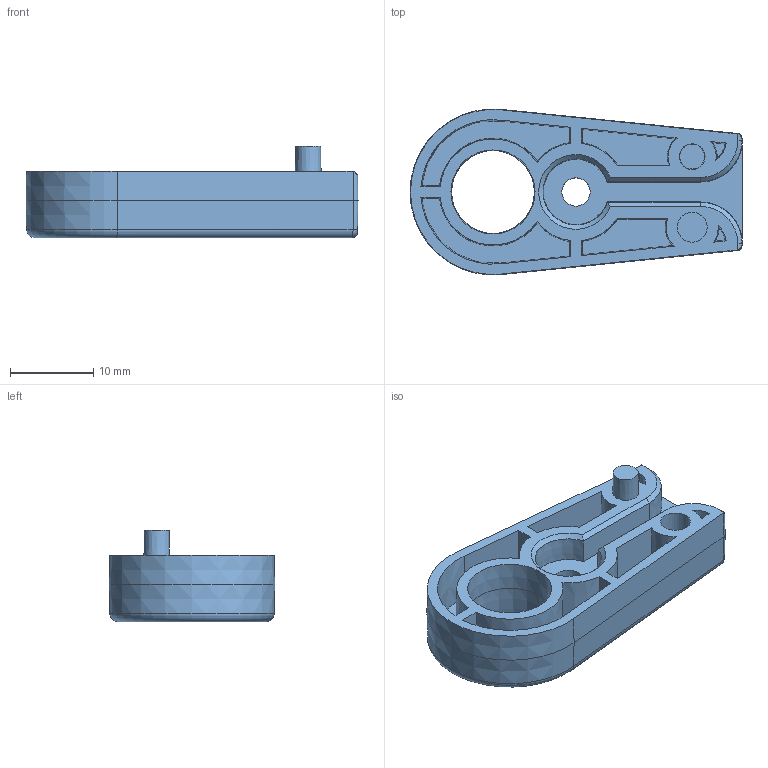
import cadquery as cq
import math

BODY_HEIGHT = 8.0
PARTING_HEIGHT = 4.5
DRAFT = 1.0
HEAD_RADIUS = 10.0
END_X = 30.0
END_HALF_WIDTH = 7.0
BOTTOM_FILLET = 1.0
END_FILLET = 0.6

RING_BORE_RADIUS = 5.0
PIVOT_X = 10.0
PIVOT_BORE_RADIUS = 1.7

KEYHOLE_FLOOR = PARTING_HEIGHT
COUNTERBORE_RADIUS = 4.0
SLOT_HALF_WIDTH = 1.25
FLARE_RADIUS = 5.0
KEYHOLE_CHAMFER = 0.5
CHAMFER_ANGLE = 45.0

PIN_X = 24.0
PIN_Y = 4.25
PIN_RADIUS = 1.55
PIN_LENGTH = 3.0
SOCKET_RADIUS = 1.8
SOCKET_DEPTH = BODY_HEIGHT - PARTING_HEIGHT

POCKET_FLOOR = 2.0
OUTER_WALL = 1.4
RING_WALL = 1.5
KEYHOLE_WALL = 2.0
PIN_BOSS_RADIUS = 3.0
SOCKET_BOSS_RADIUS = 3.25
RIB_WIDTH = 1.5

POCKET_DEPTH = BODY_HEIGHT - POCKET_FLOOR
CHAMFER_BASE = BODY_HEIGHT - KEYHOLE_CHAMFER
FLARE_X = END_X - FLARE_RADIUS
FLARE_Y = SLOT_HALF_WIDTH + FLARE_RADIUS
CORNER_ANGLE = math.atan2(END_HALF_WIDTH, END_X)
SIDE_ANGLE = math.asin(HEAD_RADIUS / math.hypot(END_X, END_HALF_WIDTH)) - CORNER_ANGLE
MARGIN = 5.0


def level(z):
    return cq.Workplane("XY").workplane(offset=z)


def drafted_cylinder(x, y, radius, z, height, taper):
    return level(z).center(x, y).circle(radius).extrude(height, taper=taper)


def body_outline(z, inset):
    """Head arc and its two tangent side lines moved inward by the inset; the flat end stays."""
    radius = HEAD_RADIUS - inset
    tangent_x = radius * math.sin(SIDE_ANGLE)
    tangent_y = radius * math.cos(SIDE_ANGLE)
    end_y = (radius - END_X * math.sin(SIDE_ANGLE)) / math.cos(SIDE_ANGLE)
    return (
        level(z)
        .moveTo(END_X, -end_y)
        .lineTo(END_X, end_y)
        .lineTo(tangent_x, tangent_y)
        .threePointArc((-radius, 0), (tangent_x, -tangent_y))
        .close()
    )


def flared_outline(z, widening):
    """Slot outline from the pivot to beyond the flat end, widened on each side."""
    half_width = SLOT_HALF_WIDTH + widening
    radius = FLARE_RADIUS - widening
    diagonal = radius * math.sqrt(0.5)
    mouth_x = FLARE_X + radius
    far_x = END_X + MARGIN
    far_y = HEAD_RADIUS + MARGIN
    return (
        level(z)
        .moveTo(PIVOT_X, -half_width)
        .lineTo(FLARE_X, -half_width)
        .threePointArc((FLARE_X + diagonal, -FLARE_Y + diagonal), (mouth_x, -FLARE_Y))
        .lineTo(mouth_x, -far_y)
        .lineTo(far_x, -far_y)
        .lineTo(far_x, far_y)
        .lineTo(mouth_x, far_y)
        .lineTo(mouth_x, FLARE_Y)
        .threePointArc((FLARE_X + diagonal, FLARE_Y - diagonal), (FLARE_X, half_width))
        .lineTo(PIVOT_X, half_width)
        .close()
    )


def make_body():
    """Two halves that taper away from the parting level, rounded below and at the flat end."""
    upper = body_outline(PARTING_HEIGHT, 0).extrude(BODY_HEIGHT - PARTING_HEIGHT, taper=DRAFT)
    upper = upper.faces(">X").edges("not |Y").fillet(END_FILLET)
    lower = body_outline(PARTING_HEIGHT, 0).extrude(-PARTING_HEIGHT, taper=DRAFT)
    lower = lower.faces("<Z").edges("not |Y").fillet(BOTTOM_FILLET)
    lower = lower.faces(">X").edges("not >Z").fillet(END_FILLET)
    return upper.union(lower)


def make_pockets():
    """Hollow between the outer wall, the bosses, the keyhole wall and the ribs."""
    opening_inset = OUTER_WALL - POCKET_DEPTH * math.tan(math.radians(DRAFT))
    hollow = body_outline(BODY_HEIGHT, opening_inset).extrude(-POCKET_DEPTH, taper=DRAFT)
    bosses = [
        (0, 0, RING_BORE_RADIUS + RING_WALL),
        (PIVOT_X, 0, COUNTERBORE_RADIUS + KEYHOLE_WALL),
        (PIN_X, PIN_Y, PIN_BOSS_RADIUS),
        (PIN_X, -PIN_Y, SOCKET_BOSS_RADIUS),
    ]
    for x, y, radius in bosses:
        hollow = hollow.cut(drafted_cylinder(x, y, radius, POCKET_FLOOR, POCKET_DEPTH, DRAFT))
    hollow = hollow.cut(flared_outline(POCKET_FLOOR, KEYHOLE_WALL).extrude(POCKET_DEPTH, taper=DRAFT))
    cross_rib = level(POCKET_FLOOR).center(PIVOT_X, 0).rect(RIB_WIDTH, 2 * HEAD_RADIUS)
    head_rib = level(POCKET_FLOOR).center(-HEAD_RADIUS / 2, 0).rect(HEAD_RADIUS, RIB_WIDTH)
    for rib in (cross_rib, head_rib):
        hollow = hollow.cut(rib.extrude(POCKET_DEPTH, taper=DRAFT))
    return hollow


def make_keyhole():
    """Counterbore and flared slot, chamfered along the top rim."""
    depth = CHAMFER_BASE - KEYHOLE_FLOOR
    bore = drafted_cylinder(PIVOT_X, 0, COUNTERBORE_RADIUS, CHAMFER_BASE, -depth, DRAFT)
    bore_rim = drafted_cylinder(PIVOT_X, 0, COUNTERBORE_RADIUS, CHAMFER_BASE, KEYHOLE_CHAMFER, -CHAMFER_ANGLE)
    slot = flared_outline(CHAMFER_BASE, 0).extrude(-depth, taper=DRAFT)
    slot_rim = flared_outline(CHAMFER_BASE, 0).extrude(KEYHOLE_CHAMFER, taper=-CHAMFER_ANGLE)
    return bore.union(slot).union(bore_rim).union(slot_rim)


def make_ring_bore():
    """Through hole that opens slightly above and below the parting level."""
    above = drafted_cylinder(0, 0, RING_BORE_RADIUS, PARTING_HEIGHT, BODY_HEIGHT - PARTING_HEIGHT, -DRAFT)
    below = drafted_cylinder(0, 0, RING_BORE_RADIUS, PARTING_HEIGHT, -PARTING_HEIGHT, -DRAFT)
    return above.union(below)


def make_pivot_bore():
    return level(0).center(PIVOT_X, 0).circle(PIVOT_BORE_RADIUS).extrude(BODY_HEIGHT)


def make_socket():
    return level(BODY_HEIGHT).center(PIN_X, -PIN_Y).circle(SOCKET_RADIUS).extrude(-SOCKET_DEPTH)


def make_pin():
    return drafted_cylinder(PIN_X, PIN_Y, PIN_RADIUS, BODY_HEIGHT, PIN_LENGTH, DRAFT)


result = (
    make_body()
    .cut(make_pockets())
    .cut(make_keyhole())
    .cut(make_ring_bore())
    .cut(make_pivot_bore())
    .cut(make_socket())
    .union(make_pin())
)